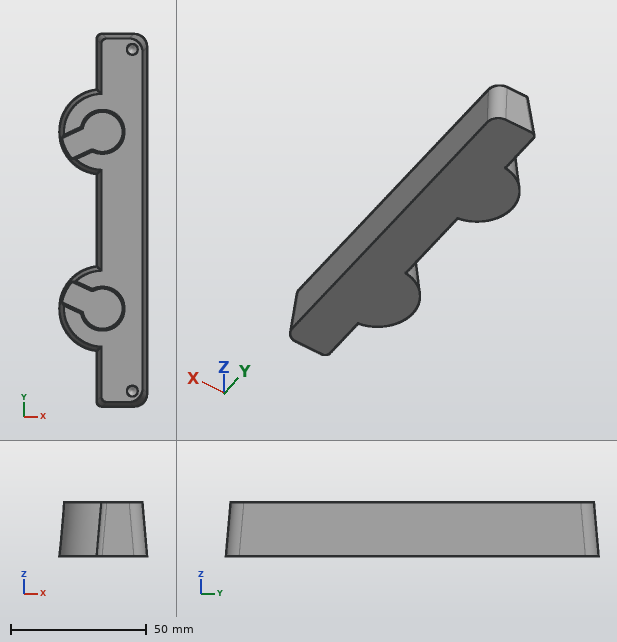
import cadquery as cq
import math

length = 137.5
depth = 32.5
height = 20.0
draft = 5.0
bar_width = 18.7
rear_corner_radius = 5.0
front_corner_radius = 2.0

boss_diameter = 31.5
boss_x = boss_diameter / 2
boss_y = 32.6

pocket_depth = height / 2
pocket_draft = 4.0
socket_diameter = 16.2
socket_x = 16.0
slot_width = 9.9
slot_length = boss_diameter
slot_angle = 25.0

hole_diameter = 4.0
hole_depth = 9.6
drill_point_angle = 118.0
hole_x = 27.0
hole_y = 63.0


def make_bar():
    bar = (
        cq.Workplane("XY")
        .center(depth - bar_width / 2, 0)
        .rect(bar_width, length)
        .extrude(height, taper=draft)
    )
    bar = bar.edges("not(#Z)").edges(">X").fillet(rear_corner_radius)
    return bar.edges("not(#Z)").edges("<X").fillet(front_corner_radius)


def make_boss(side):
    return (
        cq.Workplane("XY")
        .center(boss_x, side * boss_y)
        .circle(boss_diameter / 2)
        .extrude(height, taper=draft)
    )


def make_pocket(side):
    top = cq.Workplane("XY", origin=(socket_x, side * boss_y, height))
    socket = top.circle(socket_diameter / 2).extrude(-pocket_depth, taper=pocket_draft)
    slot = (
        top.center(-slot_length / 2, 0)
        .rect(slot_length, slot_width)
        .extrude(-pocket_depth, taper=pocket_draft)
    )
    pivot = (socket_x, side * boss_y, 0)
    pivot_top = (socket_x, side * boss_y, 1)
    return socket.union(slot.rotate(pivot, pivot_top, side * slot_angle))


def make_hole(side):
    radius = hole_diameter / 2
    point_depth = radius / math.tan(math.radians(drill_point_angle / 2))
    profile = (
        cq.Workplane("XZ")
        .polyline([(0, 0), (radius, 0), (radius, -hole_depth), (0, -hole_depth - point_depth)])
        .close()
    )
    drill = profile.revolve(360, (0, 0, 0), (0, 1, 0))
    return drill.translate((hole_x, side * hole_y, height))


result = make_bar()
for side in (-1, 1):
    result = result.union(make_boss(side))
for side in (-1, 1):
    result = result.cut(make_pocket(side)).cut(make_hole(side))